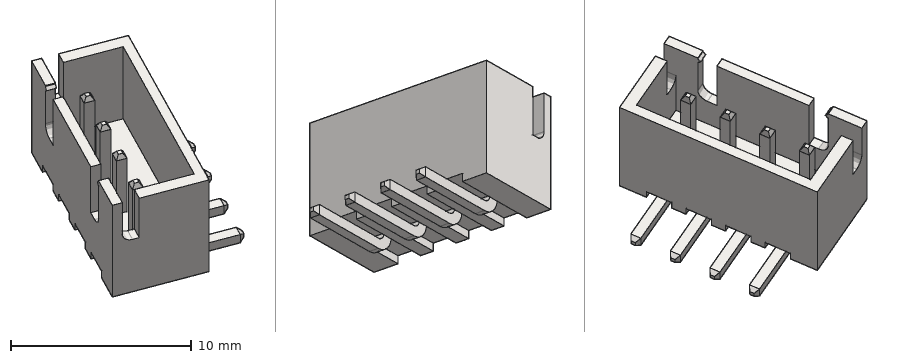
import cadquery as cq
import math


length = 12.5
depth = 5.75
height = 7.0
wall = 0.6
end_wall = 0.75
cavity_depth = 5.5

end_slot_width = 1.0
end_slot_depth = 3.0
slot_radius = 0.6

front_slot_inset = 2.14
front_slot_width = 1.2
front_slot_depth = 3.5
bump_drop = 0.25
bump_size = 0.18

pin_count = 4
pitch = 2.5
pin_size = 0.64
pin_setback = 2.04
pin_top_drop = 1.15
tail_reach = 2.98
tip_length = 0.29
tip_inset = 0.19

notch_width = 1.6
notch_height = 0.5

bend_radius = notch_height + pin_size

pin_places = [(i - (pin_count - 1) / 2) * pitch for i in range(pin_count)]
pin_middle_y = pin_setback + pin_size / 2
tip_taper = math.degrees(math.atan2(tip_inset, tip_length))


def box(x_size, y_from, y_to, z_from, z_to, x_middle=0.0):
    """Block centred on x_middle in X, with its Y and Z limits given."""
    block = cq.Workplane("XY").box(x_size, y_to - y_from, z_to - z_from, centered=(True, False, False))
    return block.translate((x_middle, y_from, z_from))


def make_end_slot():
    """Cutter for the slot in both end walls, rounded at its lower front corner."""
    slot = box(length, wall, wall + end_slot_width, height - end_slot_depth, height)
    return slot.edges("|X and <Y and <Z").fillet(slot_radius)


def make_front_slot():
    """Cutter for the left front slot: rounded lower outer corner, and a bump left near the top."""
    outer_x = front_slot_inset - length / 2
    slot = box(front_slot_width, 0, wall, height - front_slot_depth, height, outer_x + front_slot_width / 2)
    slot = slot.edges("|Y and <X and <Z").fillet(slot_radius)
    ridge_z = height - bump_drop
    bump = (
        cq.Workplane("XZ")
        .moveTo(outer_x, ridge_z + bump_size)
        .lineTo(outer_x + bump_size, ridge_z)
        .lineTo(outer_x, ridge_z - bump_size)
        .close()
        .extrude(-wall)
    )
    return slot.cut(bump)


def make_housing():
    housing = box(length, 0, depth, 0, height)
    cavity = box(length - 2 * end_wall, wall, depth - wall, height - cavity_depth, height)
    front_slot = make_front_slot()
    housing = housing.cut(cavity).cut(make_end_slot())
    housing = housing.cut(front_slot).cut(front_slot.mirror("YZ"))
    for x in pin_places:
        notch = box(notch_width, 0, depth, 0, notch_height, x)
        pin_hole = box(pin_size, pin_setback, pin_setback + pin_size, 0, height, x)
        housing = housing.cut(notch).cut(pin_hole)
    return housing


def make_tip(plane):
    """Pointed pin end, growing along the plane's normal from its origin."""
    return cq.Workplane(plane).rect(pin_size, pin_size).extrude(tip_length, taper=tip_taper)


def make_pin(x):
    """Square pin: upright leg, a bend inside the notch and below it, and a tail running out to the back."""
    leg_end_z = height - pin_top_drop - tip_length
    tail_end_y = depth + tail_reach - tip_length
    leg_back_y = pin_setback + pin_size
    inner_radius = notch_height
    bend_y = pin_setback + bend_radius
    diagonal = math.sqrt(0.5)
    pin = (
        cq.Workplane("YZ", origin=(x - pin_size / 2, 0, 0))
        .moveTo(pin_setback, leg_end_z)
        .lineTo(pin_setback, notch_height)
        .threePointArc(
            (bend_y - bend_radius * diagonal, notch_height - bend_radius * diagonal),
            (bend_y, -pin_size),
        )
        .lineTo(tail_end_y, -pin_size)
        .lineTo(tail_end_y, 0)
        .lineTo(bend_y, 0)
        .threePointArc(
            (bend_y - inner_radius * diagonal, notch_height - inner_radius * diagonal),
            (leg_back_y, notch_height),
        )
        .lineTo(leg_back_y, leg_end_z)
        .close()
        .extrude(pin_size)
    )
    leg_end = cq.Plane(origin=(x, pin_middle_y, leg_end_z), xDir=(1, 0, 0), normal=(0, 0, 1))
    tail_end = cq.Plane(origin=(x, tail_end_y, -pin_size / 2), xDir=(1, 0, 0), normal=(0, 1, 0))
    return pin.union(make_tip(leg_end)).union(make_tip(tail_end))


housing = make_housing()
pins = [make_pin(x) for x in pin_places]
result = cq.Compound.makeCompound([housing.solids().val(), *[pin.solids().val() for pin in pins]])